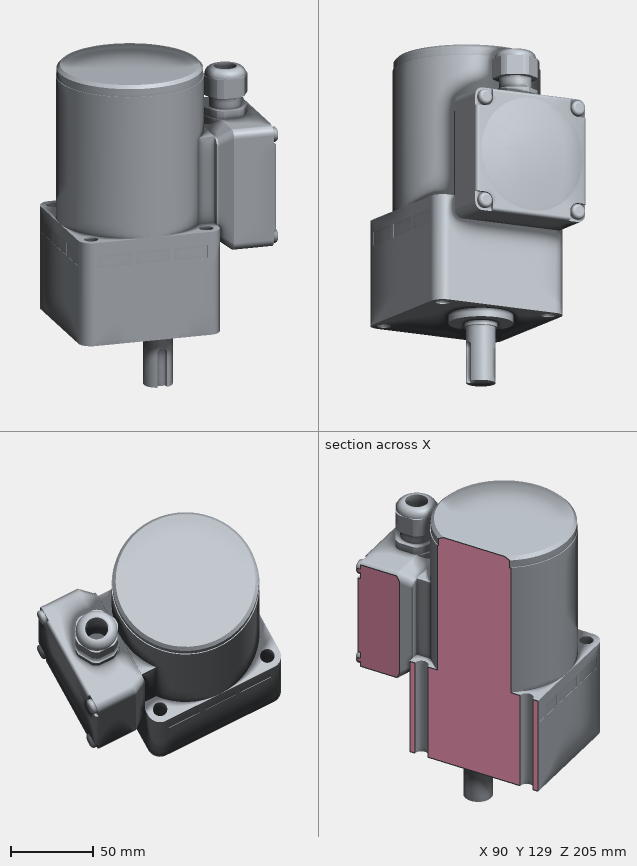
import cadquery as cq
import math


gearbox_side = 90.0
gearbox_height = 65.5
gearbox_corner_radius = 8.0
bolt_circle_diameter = 104.0
bolt_hole_diameter = 8.8
register_diameter = 39.5
register_height = 5.3

label_width = 21.3
label_height = 8.2
label_pitch = 24.5
label_middle_z = 53.3
label_depth = 0.2

shaft_offset_y = 18.0
shaft_collar_diameter = 20.2
shaft_collar_end_z = -8.0
shaft_diameter = 18.0
shaft_end_z = -42.5
keyway_width = 6.0
keyway_depth = 3.5
keyway_length = 25.0

motor_diameter = gearbox_side
motor_body_top_z = 155.5
motor_cap_diameter = 89.0
motor_top_z = 162.5
motor_cap_chamfer = 2.0

saddle_width = 56.5
saddle_top_z = 120.5
seat_y = gearbox_side / 2

box_width = 76.4
box_height = 76.5
box_corner_radius = 5.0
box_middle_z = 87.4
box_foot_width = 65.2
box_foot_height = 64.8
box_foot_corner_radius = 4.4
box_foot_thickness = 1.0
box_taper_end_y = 54.2
box_rim_y = 78.5

box_outline = cq.Sketch().rect(box_width, box_height).vertices().fillet(box_corner_radius)

cover_thickness = 3.0
cover_edge_fillet = 2.0
cover_dome_radius = 35.0
cover_top_y = 84.0

screw_spacing = 64.4
screw_head_diameter = 9.4
screw_head_top_y = 83.3
screw_head_fillet = 1.9
screw_notch_clearance = 0.6
screw_notch_floor_y = 79.7

gland_y = 61.0
gland_boss_diameter = 28.3
gland_boss_depth = 10.0
gland_hex_across_flats = 25.6
gland_hex_corner_diameter = 27.4
gland_lower_hex_height = 5.1
gland_neck_diameter = 20.0
gland_neck_height = 7.8
gland_upper_hex_height = 12.0
gland_dome_diameter = 25.4
gland_dome_height = 5.0
gland_bore_diameter = 14.0

joint_overlap = 1.0


def disc(diameter, bottom_z, top_z):
    """Round section on the Z axis."""
    return cq.Workplane("XY").workplane(offset=bottom_z).circle(diameter / 2).extrude(top_z - bottom_z)


def label_recesses():
    """Cutter for the three label recesses in the -Y side of the gearbox."""
    positions = [(i * label_pitch, 0) for i in (-1, 0, 1)]
    return (
        cq.Workplane("XZ", origin=(0, label_depth - gearbox_side / 2, label_middle_z))
        .pushPoints(positions)
        .rect(label_width, label_height)
        .extrude(2 * label_depth)
    )


def make_gearbox():
    bolt_spacing = bolt_circle_diameter / math.sqrt(2)
    gearbox = (
        cq.Workplane("XY")
        .rect(gearbox_side, gearbox_side)
        .extrude(gearbox_height)
        .edges("|Z")
        .fillet(gearbox_corner_radius)
        .faces("<Z")
        .workplane()
        .rect(bolt_spacing, bolt_spacing, forConstruction=True)
        .vertices()
        .hole(bolt_hole_diameter)
    )
    for angle in (-90, 0, 90):
        gearbox = gearbox.cut(label_recesses().rotate((0, 0, 0), (0, 0, 1), angle))
    register = disc(register_diameter, -register_height, joint_overlap)
    return gearbox.union(register.translate((0, shaft_offset_y, 0)))


def make_shaft():
    collar = disc(shaft_collar_diameter, shaft_collar_end_z, 0)
    journal = disc(shaft_diameter, shaft_end_z, shaft_collar_end_z)
    round_end_z = shaft_end_z + keyway_length - keyway_width / 2
    keyway = (
        cq.Workplane("YZ", origin=(shaft_diameter / 2 - keyway_depth, 0, 0))
        .moveTo(-keyway_width / 2, shaft_end_z)
        .lineTo(keyway_width / 2, shaft_end_z)
        .lineTo(keyway_width / 2, round_end_z)
        .threePointArc((0, shaft_end_z + keyway_length), (-keyway_width / 2, round_end_z))
        .close()
        .extrude(keyway_depth)
    )
    return journal.cut(keyway).union(collar).translate((0, shaft_offset_y, 0))


def make_motor():
    body = disc(motor_diameter, gearbox_height, motor_body_top_z)
    cap = disc(motor_cap_diameter, motor_body_top_z, motor_top_z).faces(">Z").chamfer(motor_cap_chamfer)
    saddle = (
        cq.Workplane("XY")
        .workplane(offset=gearbox_height)
        .center(0, seat_y / 2)
        .rect(saddle_width, seat_y)
        .extrude(saddle_top_z - gearbox_height)
    )
    return body.union(cap).union(saddle)


def box_plane(y):
    """Plane across the box axis at the given Y; its normal points to -Y."""
    return cq.Workplane("XZ", origin=(0, y, box_middle_z))


def make_box_shell():
    foot_outline = cq.Sketch().rect(box_foot_width, box_foot_height).vertices().fillet(box_foot_corner_radius)
    taper_start_y = seat_y + box_foot_thickness
    taper_length = box_taper_end_y - taper_start_y
    taper_end_outline = box_outline.moved(cq.Location(cq.Vector(0, 0, -taper_length)))

    foot = box_plane(seat_y).placeSketch(foot_outline).extrude(-box_foot_thickness)
    taper = box_plane(taper_start_y).placeSketch(foot_outline, taper_end_outline).loft()
    walls = box_plane(box_taper_end_y).placeSketch(box_outline).extrude(box_taper_end_y - box_rim_y)
    return foot.union(taper).union(walls)


def screw_positions():
    """Workplane on the notch floor with a point at each cover screw."""
    return (
        box_plane(screw_notch_floor_y)
        .rect(screw_spacing, screw_spacing, forConstruction=True)
        .vertices()
    )


def screw_notches():
    """Cutter for the open cover corners, rounded concentric with the screws."""
    notch_radius = screw_head_diameter / 2 + screw_notch_clearance
    notch_height = cover_top_y - screw_notch_floor_y
    cutter = screw_positions().circle(notch_radius).extrude(-notch_height)
    reach = 2 * notch_radius
    for side_x in (-1, 1):
        for side_z in (-1, 1):
            screw_x = side_x * screw_spacing / 2
            screw_z = box_middle_z + side_z * screw_spacing / 2
            floor = cq.Workplane("XZ", origin=(screw_x, screw_notch_floor_y, screw_z))
            outward_x = (
                floor.center(side_x * reach / 2, 0)
                .rect(reach, 2 * notch_radius)
                .extrude(-notch_height)
            )
            outward_z = (
                floor.center(0, side_z * reach / 2)
                .rect(2 * notch_radius, reach)
                .extrude(-notch_height)
            )
            cutter = cutter.union(outward_x).union(outward_z)
    return cutter


def make_cover():
    plate_top_y = box_rim_y + cover_thickness
    plate = (
        box_plane(box_rim_y)
        .placeSketch(box_outline)
        .extrude(-cover_thickness)
        .faces(">Y")
        .edges()
        .fillet(cover_edge_fillet)
    )
    dome_rise = cover_top_y - plate_top_y
    sphere_radius = (cover_dome_radius**2 + dome_rise**2) / (2 * dome_rise)
    dome = (
        cq.Workplane("XY", origin=(0, 0, box_middle_z))
        .moveTo(0, box_rim_y)
        .lineTo(cover_dome_radius, box_rim_y)
        .lineTo(cover_dome_radius, plate_top_y)
        .radiusArc((0, cover_top_y), -sphere_radius)
        .close()
        .revolve(360, (0, 0, 0), (0, 1, 0))
    )
    screw_heads = (
        screw_positions()
        .circle(screw_head_diameter / 2)
        .extrude(screw_notch_floor_y - screw_head_top_y)
        .faces(">Y")
        .edges()
        .fillet(screw_head_fillet)
    )
    return plate.union(dome).cut(screw_notches()).union(screw_heads)


def gland_hex(bottom_z, height):
    """Hexagon with rounded corners and two flats facing +X and -X."""
    half_corner_angle = 180 / 6
    corner_to_corner = gland_hex_across_flats / math.cos(math.radians(half_corner_angle))
    hexagon = (
        cq.Workplane("XY")
        .workplane(offset=bottom_z)
        .polygon(6, corner_to_corner)
        .extrude(height)
        .rotate((0, 0, 0), (0, 0, 1), half_corner_angle)
    )
    return hexagon.intersect(disc(gland_hex_corner_diameter, bottom_z, bottom_z + height))


def make_gland():
    box_top_z = box_middle_z + box_height / 2
    neck_z = box_top_z + gland_lower_hex_height
    upper_hex_z = neck_z + gland_neck_height
    dome_z = upper_hex_z + gland_upper_hex_height
    gland_top_z = dome_z + gland_dome_height

    boss = disc(gland_boss_diameter, box_top_z - gland_boss_depth, box_top_z)
    neck = disc(gland_neck_diameter, neck_z, upper_hex_z)
    dome = (
        disc(gland_dome_diameter, dome_z - joint_overlap, gland_top_z)
        .faces(">Z")
        .edges()
        .fillet(gland_dome_height)
    )
    gland = (
        boss.union(gland_hex(box_top_z, gland_lower_hex_height))
        .union(neck)
        .union(gland_hex(upper_hex_z, gland_upper_hex_height))
        .union(dome)
        .cut(disc(gland_bore_diameter, box_top_z, gland_top_z))
    )
    return gland.translate((0, gland_y, 0))


gearmotor = make_gearbox().union(make_shaft()).union(make_motor())
terminal_box = make_box_shell().union(make_cover()).union(make_gland())

result = cq.Compound.makeCompound([gearmotor.val(), terminal_box.val()])